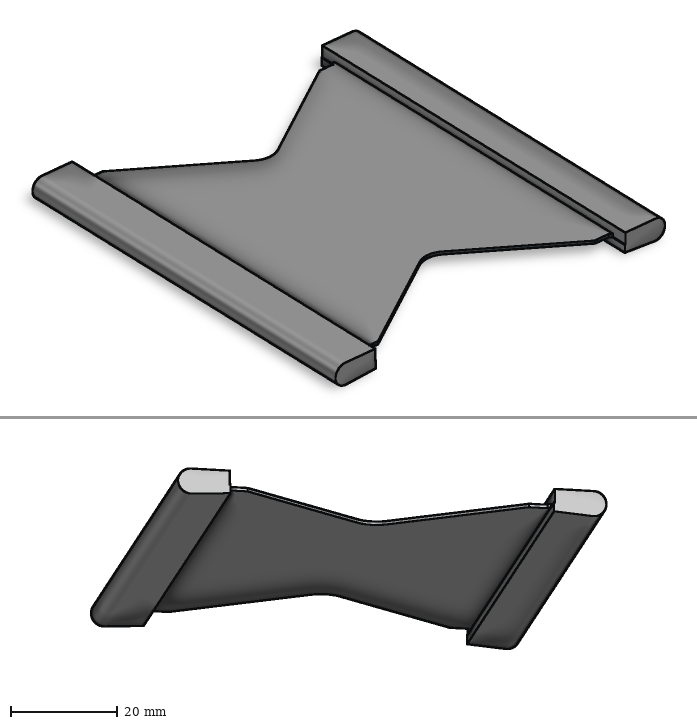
import cadquery as cq

length = 87.0
width = 82.0
height = 5.0

bar_width = 9.9
lip = 0.13
nose_length = 2.5
taper_rise = 0.5

sheet_thickness = 0.7
sheet_top = 0.5
sheet_half_length = 39.5
waist_half_length = 21.75
straight_end_y = 27.0
waist_radius = 5.2
root_radius = 0.5

half_width = width / 2
half_height = height / 2
bar_inner_y = half_width - bar_width
lip_y = bar_inner_y - lip
sheet_bottom = sheet_top - sheet_thickness


def make_bar():
    """Bar along X on the +Y side, with a rounded nose and a tapered underside."""
    nose_y = half_width - nose_length
    profile = (
        cq.Workplane("YZ")
        .moveTo(bar_inner_y, half_height)
        .lineTo(nose_y, half_height)
        .threePointArc((half_width, 0), (nose_y, -half_height))
        .lineTo(lip_y, -half_height + taper_rise)
        .lineTo(lip_y, sheet_bottom)
        .lineTo(bar_inner_y, sheet_bottom)
        .close()
    )
    return profile.extrude(length / 2, both=True)


def make_sheet():
    """Thin sheet narrowed to a rounded waist, its ends embedded in the bars."""
    embedded_y = bar_inner_y + bar_width / 2
    flare_x = sheet_half_length + root_radius
    outline = cq.Workplane("XY").workplane(offset=sheet_bottom).moveTo(-flare_x, embedded_y)
    outline = outline.lineTo(flare_x, embedded_y).lineTo(flare_x, lip_y)
    outline = outline.radiusArc((sheet_half_length, lip_y - root_radius), root_radius)
    outline = outline.lineTo(sheet_half_length, straight_end_y)
    outline = outline.lineTo(waist_half_length, 0).lineTo(-waist_half_length, 0)
    outline = outline.lineTo(-sheet_half_length, straight_end_y)
    outline = outline.lineTo(-sheet_half_length, lip_y - root_radius)
    outline = outline.radiusArc((-flare_x, lip_y), root_radius)
    half = outline.close().extrude(sheet_thickness)
    sheet = half.union(half.mirror("XZ"))
    waist_edges = cq.selectors.BoxSelector(
        (-sheet_half_length, -waist_radius, -height), (sheet_half_length, waist_radius, height)
    )
    return sheet.edges("|Z").edges(waist_edges).fillet(waist_radius)


bar = make_bar()
result = make_sheet().union(bar).union(bar.mirror("XZ"))